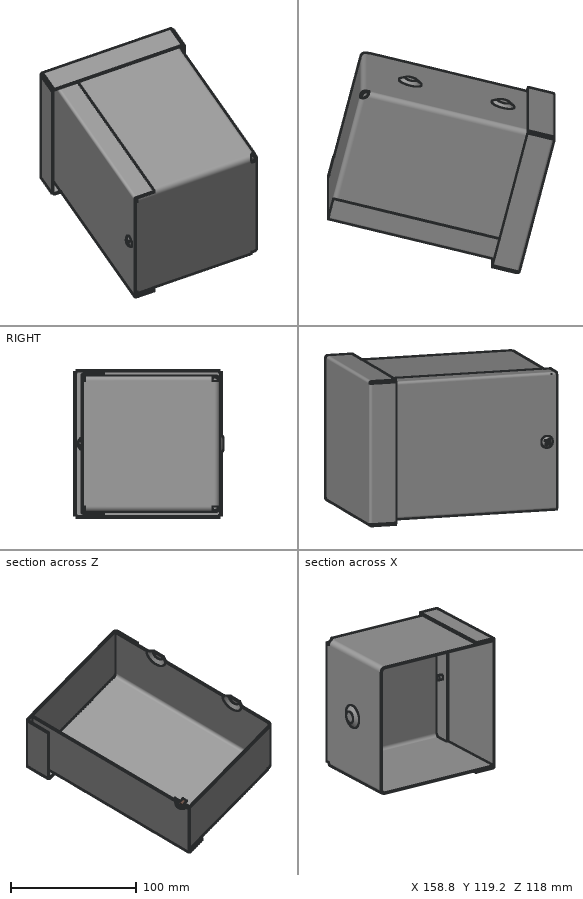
import cadquery as cq

SHEET = 1.5
LENGTH = 158.8
OVERALL_DEPTH = 119.2
CAP_SIZE = 118.0
CAP_DEPTH = 22.4
CAP_NOTCH = 1.9
BEND = 2.4
BOX_BEND = 4.3
RELIEF_RADIUS = 6.2
COVER_GAP = 1.55
COVER_SETBACK = 5.9
COVER_FLANGE = 18.1
LIP_LENGTH = 15.9

DIMPLE_BASE = 18.7
DIMPLE_TOP = 9.7
DIMPLE_HEIGHT = OVERALL_DEPTH - CAP_SIZE + SHEET
DIMPLE_PLACES = (42.7, 118.9)

SCREW_X = 150.2
SCREW_HEAD = 9.7
SCREW_HEAD_HEIGHT = 2.7
SCREW_SHANK = 4.1
SCREW_LENGTH = 6.4
CROSS_SPAN = 5.1
CROSS_WIDTH = 1.1
CROSS_DEPTH = 1.9
CROSS_ANGLE = 36.0

CAP_HALF = CAP_SIZE / 2
BACK_Y = CAP_HALF - SHEET
COVER_Y = -CAP_HALF + COVER_SETBACK
COVER_HALF = CAP_HALF - SHEET - COVER_GAP
BOX_HALF = COVER_HALF - SHEET
BOX_FRONT_Y = COVER_Y + SHEET


def block(x0, x1, y0, y1, z0, z1):
    """Box between two opposite corners."""
    return cq.Workplane("XY").box(x1 - x0, y1 - y0, z1 - z0, centered=False).translate((x0, y0, z0))


def make_cap():
    """End cap: a plate with four flanges and open corners."""
    inner = CAP_HALF - SHEET
    cap = block(0, CAP_DEPTH, -CAP_HALF, CAP_HALF, -CAP_HALF, CAP_HALF)
    cap = cap.faces("<X").edges().fillet(BEND)
    hollow = block(SHEET, CAP_DEPTH, -inner, inner, -inner, inner)
    cap = cap.cut(hollow.faces("<X").edges().fillet(BEND - SHEET))
    corner = CAP_HALF - CAP_NOTCH / 2
    notches = (
        cq.Workplane("YZ")
        .rect(2 * corner, 2 * corner, forConstruction=True)
        .vertices()
        .rect(CAP_NOTCH, CAP_NOTCH)
        .extrude(CAP_DEPTH)
    )
    return cap.cut(notches)


def dome_at(x, base_y):
    """Tapered, flat-topped dome rising along +Y from base_y."""
    return (
        cq.Workplane("XZ", origin=(x, base_y, 0))
        .circle(DIMPLE_BASE / 2)
        .workplane(offset=-DIMPLE_HEIGHT)
        .circle(DIMPLE_TOP / 2)
        .loft()
    )


def box_envelope(inset):
    """Block with round bends, set in from the outer walls, running on past both open sides."""
    outer_half = BOX_HALF - inset
    envelope = block(-LENGTH, LENGTH - inset, -LENGTH, BACK_Y - inset, -outer_half, outer_half)
    return envelope.edges(">X or >Y").fillet(BOX_BEND - inset)


def shank():
    """Plain screw shank, pointing inward from the cover face."""
    rod = cq.Workplane("XZ").circle(SCREW_SHANK / 2).extrude(-SCREW_LENGTH)
    return rod.translate((SCREW_X, COVER_Y, 0))


def make_box():
    """Box open at the cap and at the front, with relieved corners, dimples and a screw lip."""
    extent = block(BEND, LENGTH, BOX_FRONT_Y, BACK_Y, -BOX_HALF, BOX_HALF)
    box = box_envelope(0).intersect(extent).cut(box_envelope(SHEET))

    lip_half = BOX_HALF - SHEET
    lip = block(LENGTH - LIP_LENGTH, LENGTH, BOX_FRONT_Y, BOX_FRONT_Y + SHEET, -lip_half, lip_half)
    box = box.union(lip).cut(shank())

    relief = cq.Workplane("XY").circle(RELIEF_RADIUS).extrude(BOX_BEND)
    for z in (-BOX_HALF, BOX_HALF - BOX_BEND):
        box = box.cut(relief.translate((LENGTH, BACK_Y, z)))

    for x in DIMPLE_PLACES:
        box = box.union(dome_at(x, BACK_Y)).cut(dome_at(x, BACK_Y - SHEET))
    return box


def make_cover():
    """Front cover: a channel whose two flanges lie on the top and the bottom of the box."""
    cover = block(BEND, LENGTH, COVER_Y, COVER_Y + COVER_FLANGE, -COVER_HALF, COVER_HALF)
    cover = cover.edges("|X and <Y").fillet(BEND)
    cover = cover.cut(block(BEND, LENGTH, BOX_FRONT_Y, BACK_Y, -BOX_HALF, BOX_HALF))
    return cover.cut(shank())


def make_screw():
    """Round-head screw with a cross recess."""
    head_radius = SCREW_HEAD / 2
    dome_radius = (head_radius**2 + SCREW_HEAD_HEIGHT**2) / (2 * SCREW_HEAD_HEIGHT)
    ball = cq.Workplane("XY").sphere(dome_radius).translate((0, dome_radius - SCREW_HEAD_HEIGHT, 0))
    head = cq.Workplane("XZ").circle(head_radius).extrude(SCREW_HEAD_HEIGHT).intersect(ball)
    for angle in (CROSS_ANGLE, CROSS_ANGLE + 90):
        slot = cq.Workplane("XY").box(CROSS_SPAN, 2 * CROSS_DEPTH, CROSS_WIDTH)
        slot = slot.rotate((0, 0, 0), (0, 1, 0), angle)
        head = head.cut(slot.translate((0, -SCREW_HEAD_HEIGHT, 0)))
    return head.translate((SCREW_X, COVER_Y, 0)).union(shank())


cap = make_cap().solids()
box = make_box().solids()
cover = make_cover().solids()
screw = make_screw().solids()

result = cq.Compound.makeCompound([cap.val(), box.val(), cover.val(), screw.val()])